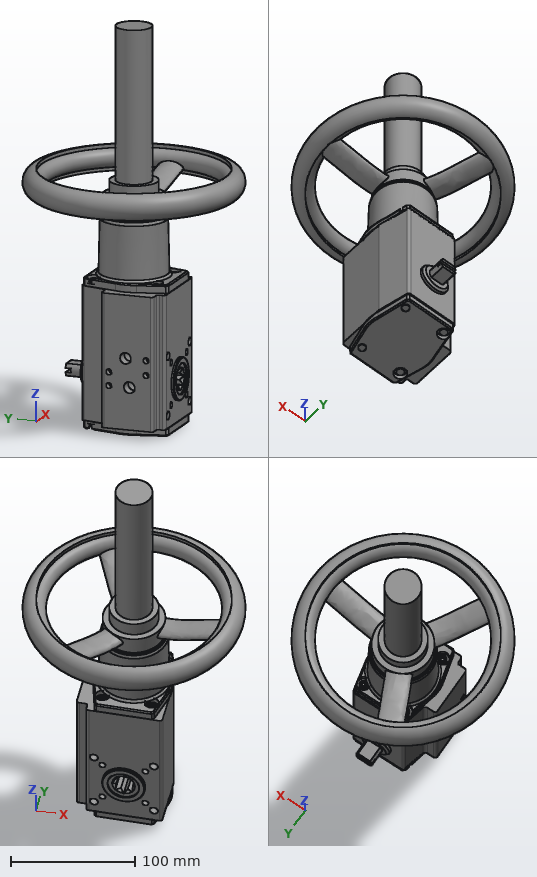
import cadquery as cq
import math


TOTAL_HEIGHT = 334.0
CAP_BOTTOM = 1.0
BODY_BOTTOM = 8.0
BODY_TOP = 120.2
CAP_TOP = 127.2
CONE_BOTTOM = 129.2
CONE_TOP = 174.0
COLLAR_BOTTOM = 176.5
COLLAR_TOP = 178.5
WHEEL_HUB_TOP = 193.5
SLEEVE_TOP = 205.5

SHAFT_RADIUS = 15.0
SLEEVE_RADIUS = 20.0
WHEEL_HUB_RADIUS = 25.5
COLLAR_RADIUS = 26.7
CONE_TOP_RADIUS = 27.7
CONE_BOTTOM_RADIUS = 28.7
BASE_FLARE_RADIUS = 30.7
COLLAR_GROOVE_WIDTH = 1.0
COLLAR_GROOVE_DEPTH = 1.0

WHEEL_RADIUS = 180.0 / 2
RIM_HALF_HEIGHT = 22.5 / 2
RIM_LIP_HALF_HEIGHT = 8.0
RIM_CENTRE_RADIUS = WHEEL_RADIUS - RIM_HALF_HEIGHT
RIM_CENTRE_HEIGHT = 203.7
SPOKE_COUNT = 3
SPOKE_START_ANGLE = -4.0
SPOKE_WIDTH = 22.0
SPOKE_THICKNESS = 10.0
SPOKE_ROOT_RADIUS = 21.7
SPOKE_BEND_RADIUS = 32.0
SPOKE_RISE_ANGLE = 15.5
SPOKE_LOW_HEIGHT = 188.0

BODY_FRONT = -38.7
BODY_BACK = 35.7
BODY_SIDE = 31.5
BODY_TAPER_START = 6.7
BODY_BACK_HALF_WIDTH = 24.7
BODY_CORNER_RADIUS = 2.5

PAD_FACE = -40.7
PAD_FRONT = -31.7
PAD_BACK = 13.0
PAD_ROOT = -23.5
PAD_CORNER_RADIUS = 2.5
PAD_FRONT_BLEND = 1.7
PAD_BACK_BLEND = 3.0

CAP_FRONT = -38.5
CAP_BACK = 34.7
CAP_CORNER_WIDTH = 24.7
CAP_FACE_WIDTH = 22.7
CAP_CORNER_LENGTH = 1.7
CAP_SHOULDER_WIDTH = 30.7
CAP_CROWN_WIDTH = 32.0
CAP_CROWN_FRONT = -13.5
CAP_CROWN_BACK = 4.5
CAP_CHAMFER = 1.17

SCREW_X = 20.5
SCREW_Y = 26.7
COUNTERBORE_RADIUS = 5.7
COUNTERBORE_DEPTH = 4.7
SCREW_HEAD_RADIUS = 3.5
SCREW_HEAD_HEIGHT = 3.0
SCREW_HEAD_CHAMFER = 0.7
SCREW_SOCKET_WIDTH = 3.5
SCREW_SOCKET_DEPTH = 1.7
SOCKET_SIDES = 6

DRIVE_HEIGHT = 43.5
SPIGOT_RADIUS = 17.7
SPIGOT_LENGTH = 2.5
SPIGOT_CHAMFER = 0.7
DRIVE_RECESS_RADIUS = 13.0
DRIVE_RECESS_DEPTH = 1.5
DRIVE_BORE_RADIUS = 9.7
DRIVE_SQUARE = DRIVE_BORE_RADIUS * math.sqrt(2)
DRIVE_BORE_DEPTH = 30.0
DRIVE_MOUTH_RADIUS = 9.5
DRIVE_MOUTH_DEPTH = 4.0
LARGE_BOLT_OFFSET = 24.7
LARGE_BOLT_RADIUS = 3.5
SMALL_BOLT_OFFSET = 17.7
SMALL_BOLT_RADIUS = 2.5
BOLT_HOLE_DEPTH = 10.0

NECK_RADIUS = 7.7
DISC_RADIUS = 13.7
DISC_CHAMFER = 2.0
DISC_BACK = 37.5
DISC_FRONT = 41.7
STEM_END = 56.0
STEM_RADIUS = 15.7 / 2
STEM_FLATS = 10.5
STEM_SLOT_WIDTH = 3.5
STEM_SLOT_DEPTH = 4.7

PORTS = [(-8.0, 67.5), (-11.5, DRIVE_HEIGHT)]
PORT_RADIUS = 4.7
PORT_DEPTH = 10.0
PAD_HOLES = [(6.5, DRIVE_HEIGHT), (6.5, 54.8), (-25.7, 54.8), (-25.7, 67.0)]
PAD_HOLE_RADIUS = 2.5
PAD_HOLE_DEPTH = 6.7

DRILL_POINT_ANGLE = 118.0
OVERLAP = 1.7


def cylinder_z(x, y, bottom, radius, height):
    return cq.Workplane("XY", origin=(x, y, bottom)).circle(radius).extrude(height)


def cylinder_y(x, z, front, radius, length):
    return cq.Workplane("XZ", origin=(x, front, z)).circle(radius).extrude(-length)


def drilled_hole(mouth, direction, radius, depth):
    """Round hole of the given straight depth, ending in a drill point."""
    point_length = radius / math.tan(math.radians(DRILL_POINT_ANGLE / 2))
    start = cq.Vector(*mouth)
    heading = cq.Vector(*direction)
    straight = cq.Solid.makeCylinder(radius, depth, start, heading)
    point = cq.Solid.makeCone(radius, 0, point_length, start + heading * depth, heading)
    return cq.Workplane(straight).union(cq.Workplane(point))


def corners(half_x, half_y):
    return [(sx * half_x, sy * half_y) for sx in (-1, 1) for sy in (-1, 1)]


def make_body():
    block = (
        cq.Workplane("XY", origin=(0, 0, BODY_BOTTOM))
        .moveTo(-BODY_SIDE, BODY_FRONT)
        .lineTo(BODY_SIDE, BODY_FRONT)
        .lineTo(BODY_SIDE, BODY_TAPER_START)
        .lineTo(BODY_BACK_HALF_WIDTH, BODY_BACK)
        .lineTo(-BODY_BACK_HALF_WIDTH, BODY_BACK)
        .lineTo(-BODY_SIDE, BODY_TAPER_START)
        .close()
        .extrude(BODY_TOP - BODY_BOTTOM)
    )
    block = block.edges("|Z and (<Y or >Y)").fillet(BODY_CORNER_RADIUS)
    pad = (
        cq.Workplane("XY", origin=(0, 0, BODY_BOTTOM))
        .moveTo(PAD_FACE, PAD_FRONT)
        .lineTo(PAD_ROOT, PAD_FRONT)
        .lineTo(PAD_ROOT, PAD_BACK)
        .lineTo(PAD_FACE, PAD_BACK)
        .close()
        .extrude(BODY_TOP - BODY_BOTTOM)
        .edges("|Z and <X")
        .fillet(PAD_CORNER_RADIUS)
    )
    body = block.union(pad)
    mid_height = (BODY_BOTTOM + BODY_TOP) / 2
    taper = (BODY_SIDE - BODY_BACK_HALF_WIDTH) / (BODY_BACK - BODY_TAPER_START)
    pad_back_root = BODY_SIDE - taper * (PAD_BACK - BODY_TAPER_START)
    for root_x, root_y, blend in (
        (-BODY_SIDE, PAD_FRONT, PAD_FRONT_BLEND),
        (-pad_back_root, PAD_BACK, PAD_BACK_BLEND),
    ):
        root_edge = cq.selectors.NearestToPointSelector((root_x, root_y, mid_height))
        body = body.edges("|Z").edges(root_edge).fillet(blend)
    return body


def make_cap(bottom, top, outer_face):
    crown_middle = (CAP_CROWN_FRONT + CAP_CROWN_BACK) / 2
    cap = (
        cq.Workplane("XY", origin=(0, 0, bottom))
        .moveTo(-CAP_FACE_WIDTH, CAP_FRONT)
        .lineTo(CAP_FACE_WIDTH, CAP_FRONT)
        .lineTo(CAP_CORNER_WIDTH, CAP_FRONT + CAP_CORNER_LENGTH)
        .lineTo(CAP_SHOULDER_WIDTH, CAP_CROWN_FRONT)
        .threePointArc((CAP_CROWN_WIDTH, crown_middle), (CAP_SHOULDER_WIDTH, CAP_CROWN_BACK))
        .lineTo(CAP_CORNER_WIDTH, CAP_BACK - CAP_CORNER_LENGTH)
        .lineTo(CAP_FACE_WIDTH, CAP_BACK)
        .lineTo(-CAP_FACE_WIDTH, CAP_BACK)
        .lineTo(-CAP_CORNER_WIDTH, CAP_BACK - CAP_CORNER_LENGTH)
        .lineTo(-CAP_SHOULDER_WIDTH, CAP_CROWN_BACK)
        .threePointArc((-CAP_CROWN_WIDTH, crown_middle), (-CAP_SHOULDER_WIDTH, CAP_CROWN_FRONT))
        .lineTo(-CAP_CORNER_WIDTH, CAP_FRONT + CAP_CORNER_LENGTH)
        .close()
        .extrude(top - bottom)
    )
    return cap.faces(outer_face).chamfer(CAP_CHAMFER)


def add_top_cap_screws(part):
    floor = CAP_TOP - COUNTERBORE_DEPTH
    for x, y in corners(SCREW_X, SCREW_Y):
        part = part.cut(cylinder_z(x, y, floor, COUNTERBORE_RADIUS, COUNTERBORE_DEPTH))
        head = cylinder_z(x, y, floor, SCREW_HEAD_RADIUS, SCREW_HEAD_HEIGHT)
        head = head.faces(">Z").chamfer(SCREW_HEAD_CHAMFER)
        socket = head.faces(">Z").workplane().polygon(SOCKET_SIDES, SCREW_SOCKET_WIDTH)
        head = socket.cutBlind(-SCREW_SOCKET_DEPTH)
        part = part.union(head)
    return part


def add_bottom_cap_screws(part):
    """Sunk screws on the pad side, proud screw heads on the opposite side."""
    for y in (-SCREW_Y, SCREW_Y):
        part = part.cut(cylinder_z(-SCREW_X, y, CAP_BOTTOM, COUNTERBORE_RADIUS, COUNTERBORE_DEPTH))
        sunk_head_bottom = CAP_BOTTOM + COUNTERBORE_DEPTH - SCREW_HEAD_HEIGHT
        part = part.union(cylinder_z(-SCREW_X, y, sunk_head_bottom, SCREW_HEAD_RADIUS, SCREW_HEAD_HEIGHT))
        part = part.union(cylinder_z(SCREW_X, y, 0, SCREW_HEAD_RADIUS, CAP_BOTTOM + OVERLAP))
    return part


def make_column():
    groove_bottom = (COLLAR_BOTTOM + COLLAR_TOP - COLLAR_GROOVE_WIDTH) / 2
    groove_top = groove_bottom + COLLAR_GROOVE_WIDTH
    groove_radius = COLLAR_RADIUS - COLLAR_GROOVE_DEPTH
    return (
        cq.Workplane("XZ")
        .moveTo(0, CAP_TOP - OVERLAP)
        .lineTo(BASE_FLARE_RADIUS, CAP_TOP - OVERLAP)
        .lineTo(BASE_FLARE_RADIUS, CAP_TOP)
        .lineTo(CONE_BOTTOM_RADIUS, CONE_BOTTOM)
        .lineTo(CONE_TOP_RADIUS, CONE_TOP)
        .lineTo(COLLAR_RADIUS, COLLAR_BOTTOM)
        .lineTo(COLLAR_RADIUS, groove_bottom)
        .lineTo(groove_radius, groove_bottom)
        .lineTo(groove_radius, groove_top)
        .lineTo(COLLAR_RADIUS, groove_top)
        .lineTo(COLLAR_RADIUS, COLLAR_TOP)
        .lineTo(WHEEL_HUB_RADIUS, COLLAR_TOP)
        .lineTo(WHEEL_HUB_RADIUS, WHEEL_HUB_TOP)
        .lineTo(SLEEVE_RADIUS, WHEEL_HUB_TOP)
        .lineTo(SLEEVE_RADIUS, SLEEVE_TOP)
        .lineTo(SHAFT_RADIUS, SLEEVE_TOP)
        .lineTo(SHAFT_RADIUS, TOTAL_HEIGHT)
        .lineTo(0, TOTAL_HEIGHT)
        .close()
        .revolve(360, (0, 0, 0), (0, 1, 0))
    )


def make_rim():
    """Large half round outside, smaller half round inside, meeting in a step."""
    return (
        cq.Workplane("XZ")
        .moveTo(RIM_CENTRE_RADIUS, RIM_CENTRE_HEIGHT - RIM_HALF_HEIGHT)
        .threePointArc(
            (WHEEL_RADIUS, RIM_CENTRE_HEIGHT),
            (RIM_CENTRE_RADIUS, RIM_CENTRE_HEIGHT + RIM_HALF_HEIGHT),
        )
        .lineTo(RIM_CENTRE_RADIUS, RIM_CENTRE_HEIGHT + RIM_LIP_HALF_HEIGHT)
        .threePointArc(
            (RIM_CENTRE_RADIUS - RIM_LIP_HALF_HEIGHT, RIM_CENTRE_HEIGHT),
            (RIM_CENTRE_RADIUS, RIM_CENTRE_HEIGHT - RIM_LIP_HALF_HEIGHT),
        )
        .close()
        .revolve(360, (0, 0, 0), (0, 1, 0))
    )


def make_spoke():
    """Oval bar that leaves the hub level and then rises to the rim."""
    slope = math.tan(math.radians(SPOKE_RISE_ANGLE))
    middle_radius = (SPOKE_BEND_RADIUS + RIM_CENTRE_RADIUS) / 2
    path_points = [(SPOKE_ROOT_RADIUS, SPOKE_LOW_HEIGHT)]
    for radius in (middle_radius, RIM_CENTRE_RADIUS):
        path_points.append((radius, SPOKE_LOW_HEIGHT + slope * (radius - SPOKE_BEND_RADIUS)))
    path = cq.Workplane("XZ").spline(path_points, tangents=[(1, 0), (1, slope)])
    return (
        cq.Workplane("YZ", origin=(SPOKE_ROOT_RADIUS, 0, SPOKE_LOW_HEIGHT))
        .ellipse(SPOKE_WIDTH / 2, SPOKE_THICKNESS / 2)
        .sweep(path)
    )


def add_hand_wheel(part):
    part = part.union(make_rim())
    spoke = make_spoke()
    for index in range(SPOKE_COUNT):
        angle = SPOKE_START_ANGLE + index * 360 / SPOKE_COUNT
        part = part.union(spoke.rotate((0, 0, 0), (0, 0, 1), angle))
    return part


def add_output_drive(part):
    spigot_face = BODY_FRONT - SPIGOT_LENGTH
    spigot = cylinder_y(0, DRIVE_HEIGHT, spigot_face, SPIGOT_RADIUS, SPIGOT_LENGTH + OVERLAP)
    part = part.union(spigot.faces("<Y").chamfer(SPIGOT_CHAMFER))
    part = part.cut(cylinder_y(0, DRIVE_HEIGHT, spigot_face, DRIVE_RECESS_RADIUS, DRIVE_RECESS_DEPTH))
    for turn in (0, 45):
        square = (
            cq.Workplane("XZ", origin=(0, spigot_face, DRIVE_HEIGHT))
            .transformed(rotate=(0, 0, turn))
            .rect(DRIVE_SQUARE, DRIVE_SQUARE)
            .extrude(-DRIVE_BORE_DEPTH)
        )
        part = part.cut(square)
    mouth = cq.Solid.makeCone(
        DRIVE_MOUTH_RADIUS,
        DRIVE_BORE_RADIUS * math.cos(math.pi / 4),
        DRIVE_MOUTH_DEPTH,
        cq.Vector(0, spigot_face + DRIVE_RECESS_DEPTH, DRIVE_HEIGHT),
        cq.Vector(0, 1, 0),
    )
    return part.cut(cq.Workplane(mouth))


def cut_bolt_holes(part):
    """Flat-bottomed holes on the outer square, drilled holes on the inner square."""
    for x, z in corners(LARGE_BOLT_OFFSET, LARGE_BOLT_OFFSET):
        part = part.cut(cylinder_y(x, DRIVE_HEIGHT + z, BODY_FRONT, LARGE_BOLT_RADIUS, BOLT_HOLE_DEPTH))
    for x, z in corners(SMALL_BOLT_OFFSET, SMALL_BOLT_OFFSET):
        hole_mouth = (x, BODY_FRONT, DRIVE_HEIGHT + z)
        part = part.cut(drilled_hole(hole_mouth, (0, 1, 0), SMALL_BOLT_RADIUS, BOLT_HOLE_DEPTH))
    return part


def make_stem():
    neck_start = BODY_BACK - OVERLAP
    neck = cylinder_y(0, DRIVE_HEIGHT, neck_start, NECK_RADIUS, DISC_BACK - neck_start)
    disc = cylinder_y(0, DRIVE_HEIGHT, DISC_BACK, DISC_RADIUS, DISC_FRONT - DISC_BACK)
    disc = disc.faces(">Y").chamfer(DISC_CHAMFER)
    stem_length = STEM_END - DISC_BACK
    flats = cq.Workplane("XY").box(2 * STEM_RADIUS, stem_length, STEM_FLATS, centered=(True, False, True))
    tip = cylinder_y(0, DRIVE_HEIGHT, DISC_BACK, STEM_RADIUS, stem_length)
    tip = tip.intersect(flats.translate((0, DISC_BACK, DRIVE_HEIGHT)))
    slot = cq.Workplane("XY").box(2 * STEM_RADIUS, 2 * STEM_SLOT_DEPTH, STEM_SLOT_WIDTH)
    tip = tip.cut(slot.translate((0, STEM_END, DRIVE_HEIGHT)))
    return neck.union(disc).union(tip)


def cut_pad_holes(part):
    for y, z in PORTS:
        part = part.cut(drilled_hole((PAD_FACE, y, z), (1, 0, 0), PORT_RADIUS, PORT_DEPTH))
    for y, z in PAD_HOLES:
        part = part.cut(drilled_hole((PAD_FACE, y, z), (1, 0, 0), PAD_HOLE_RADIUS, PAD_HOLE_DEPTH))
    return part


result = make_body()
result = result.union(make_cap(CAP_BOTTOM, BODY_BOTTOM, "<Z"))
result = result.union(make_cap(BODY_TOP, CAP_TOP, ">Z"))
result = add_bottom_cap_screws(result)
result = result.union(make_column())
result = add_top_cap_screws(result)
result = add_hand_wheel(result)
result = add_output_drive(result)
result = cut_bolt_holes(result)
result = result.union(make_stem())
result = cut_pad_holes(result)